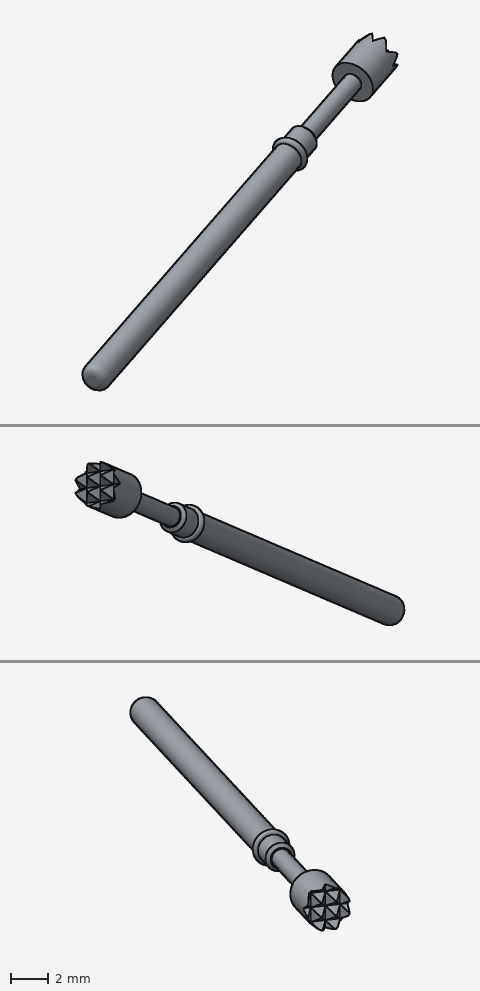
import cadquery as cq
import math

length = 32.3
head_diameter = 2.5
head_length = 2.97
groove_angle = 62.0
teeth_across = 3
plunger_diameter = 1.05
plunger_length = 5.35
barrel_diameter = 1.65
tail_radius = 0.45
collar_taper_length = 0.2
collar_taper_depth = 0.23
ring_radius = 1.03
ring_half_width = 0.23
ring_setback = 1.7

head_radius = head_diameter / 2
plunger_radius = plunger_diameter / 2
barrel_radius = barrel_diameter / 2
tooth_pitch = head_diameter / teeth_across
tooth_depth = tooth_pitch / 2 / math.tan(math.radians(groove_angle / 2))

tip_y = length / 2
tail_y = -length / 2
head_base_y = tip_y - head_length
barrel_top_y = head_base_y - plunger_length
ring_y = barrel_top_y - ring_setback


def rod(radius, start_y, end_y):
    """Solid cylinder on the Y axis between two stations."""
    return cq.Workplane("XZ", origin=(0, end_y, 0)).circle(radius).extrude(end_y - start_y)


def make_barrel():
    """Barrel with a rounded tail, a tapered mouth and a bulged press ring."""
    body = rod(barrel_radius, tail_y, barrel_top_y)
    body = body.faces("<Y").edges().fillet(tail_radius)
    body = body.faces(">Y").edges().chamfer(collar_taper_length, collar_taper_depth)
    ring = (
        cq.Workplane("XY")
        .moveTo(0, ring_y - ring_half_width)
        .lineTo(barrel_radius, ring_y - ring_half_width)
        .threePointArc((ring_radius, ring_y), (barrel_radius, ring_y + ring_half_width))
        .lineTo(0, ring_y + ring_half_width)
        .close()
        .revolve(360, (0, 0, 0), (0, 1, 0))
    )
    return body.union(ring)


def make_head():
    """Cylindrical head whose end is cut into pyramids by two crossed sets of V grooves."""
    head = rod(head_radius, head_base_y, tip_y)
    for index in range(teeth_across):
        offset = (index - (teeth_across - 1) / 2) * tooth_pitch
        groove = (
            cq.Workplane("XY")
            .moveTo(offset - tooth_pitch / 2, tip_y)
            .lineTo(offset, tip_y - tooth_depth)
            .lineTo(offset + tooth_pitch / 2, tip_y)
            .close()
            .extrude(head_radius, both=True)
        )
        head = head.cut(groove)
        head = head.cut(groove.rotate((0, 0, 0), (0, 1, 0), 90))
    return head


plunger = rod(plunger_radius, barrel_top_y, head_base_y)
result = make_barrel().union(plunger).union(make_head())